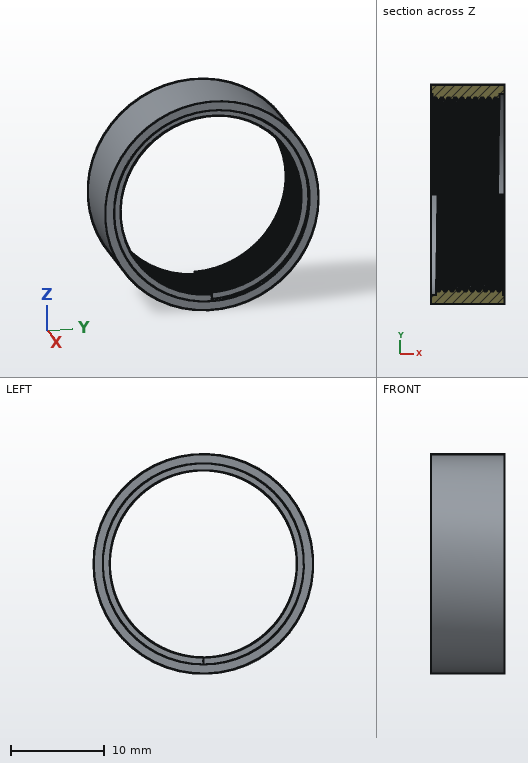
import cadquery as cq


outer_diameter = 23.38
length = 7.87
lining_diameter = 21.39

minor_diameter = 19.90
major_diameter = 20.62
turns = 10
pitch = length / (turns + 1)
crest_width = 0.22 * pitch
root_width = 0.2 * pitch
first_crest = 0.01 * pitch

first_joint = 0.625
clearance = 0.3
relief_depth = 1.5 * pitch

outer_radius = outer_diameter / 2
lining_radius = lining_diameter / 2
minor_radius = minor_diameter / 2
major_radius = major_diameter / 2
tool_radius = minor_radius - clearance


def helical_sweep(profile, turn_count):
    """Sweep (radius, height) points along a right-handed helix that starts on the +X side."""
    helix = cq.Wire.makeHelix(pitch, turn_count * pitch, minor_radius)
    return cq.Workplane("XZ").polyline(profile).close().sweep(cq.Workplane(helix), isFrenet=True)


def blank_sleeve():
    """Plain tube, turned so that its surface seam stays clear of the thread ends."""
    tube = cq.Workplane("XY").circle(outer_radius).circle(minor_radius).extrude(length)
    return tube.rotate((0, 0, 0), (0, 0, 1), 90)


def groove_piece(start_turn, turn_count):
    """Stretch of the thread groove, a symmetric trapezoid in section."""
    lower_crest = first_crest
    upper_crest = first_crest + pitch - crest_width
    flank_height = (pitch - crest_width - root_width) / 2
    profile = [
        (tool_radius, lower_crest),
        (minor_radius, lower_crest),
        (major_radius, lower_crest + flank_height),
        (major_radius, upper_crest - flank_height),
        (minor_radius, upper_crest),
        (tool_radius, upper_crest),
    ]
    piece = helical_sweep(profile, turn_count)
    return piece.rotate((0, 0, 0), (0, 0, 1), 360 * start_turn).translate((0, 0, start_turn * pitch))


def end_relief():
    """One-turn ramp that clears everything ahead of the strip's leading edge."""
    profile = [
        (tool_radius, 0),
        (lining_radius, 0),
        (lining_radius, -relief_depth),
        (tool_radius, -relief_depth),
    ]
    return helical_sweep(profile, 1)


sleeve = blank_sleeve()

joints = [first_joint + turn for turn in range(turns)]
for piece_start, piece_end in zip([0] + joints, joints + [turns]):
    sleeve = sleeve.cut(groove_piece(piece_start, piece_end - piece_start), clean=False)

near_relief = end_relief()
far_relief = near_relief.rotate((0, 0, 0), (1, 0, 0), 180).translate((0, 0, length))
sleeve = sleeve.cut(near_relief, clean=False).cut(far_relief, clean=False)

result = sleeve.rotate((0, 0, 0), (0, 1, 0), 90).translate((-length / 2, 0, 0))